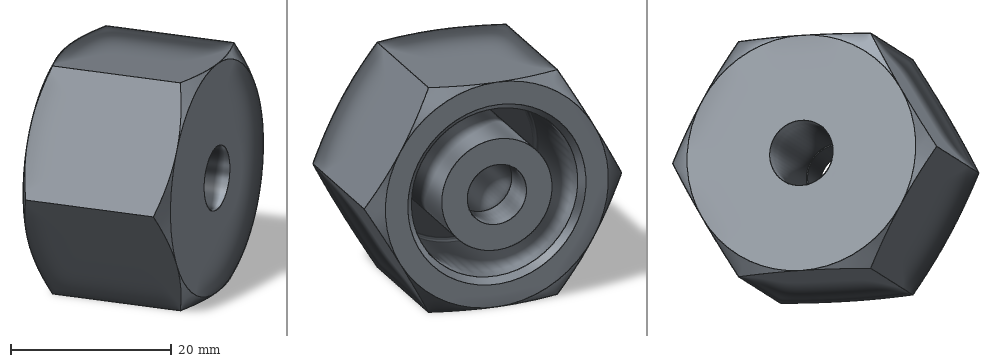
import cadquery as cq
import math

across_corners = 34.65
across_flats = across_corners * math.cos(math.radians(30))
length = 20.0
half_length = length / 2
corner_chamfer_angle = 30.0

mouth_radius = 12.0
cavity_radius = 11.2
mouth_chamfer_depth = 0.8
cavity_depth = 14.55
floor_fillet = 0.5

boss_radius = 7.4
bore_radius = 4.0
rear_bore_radius = 4.15
bore_step_depth = 5.0

open_end = -half_length
floor_x = open_end + cavity_depth


def revolve_about_x(points):
    """Revolve a closed (x, radius) outline about the X axis."""
    return cq.Workplane("XY").polyline(points).close().revolve(360, (0, 0, 0), (1, 0, 0))


def hexagon_body():
    """Hexagonal prism with its corners turned conical at both ends."""
    prism = (
        cq.Workplane("YZ", origin=(open_end, 0, 0))
        .polygon(6, across_corners)
        .extrude(length)
    )
    flat_radius = across_flats / 2
    corner_radius = across_corners / 2
    setback = (corner_radius - flat_radius) * math.tan(math.radians(corner_chamfer_angle))
    envelope = revolve_about_x([
        (-half_length, 0),
        (-half_length, flat_radius),
        (-half_length + setback, corner_radius),
        (half_length - setback, corner_radius),
        (half_length, flat_radius),
        (half_length, 0),
    ])
    return prism.intersect(envelope)


def cavity():
    """Chamfered round cavity with a filleted floor edge."""
    outline = (
        cq.Workplane("XY")
        .moveTo(open_end, 0)
        .lineTo(open_end, mouth_radius)
        .lineTo(open_end + mouth_chamfer_depth, cavity_radius)
        .lineTo(floor_x - floor_fillet, cavity_radius)
        .radiusArc((floor_x, cavity_radius - floor_fillet), floor_fillet)
        .lineTo(floor_x, 0)
        .close()
    )
    return outline.revolve(360, (0, 0, 0), (1, 0, 0))


def boss():
    """Round boss running from the cavity floor, flush with the open end."""
    return (
        cq.Workplane("YZ", origin=(open_end, 0, 0))
        .circle(boss_radius)
        .extrude(length)
    )


def bore():
    """Through bore along the axis, slightly wider behind its step."""
    narrow = cq.Workplane("YZ", origin=(open_end, 0, 0)).circle(bore_radius).extrude(length)
    wide = (
        cq.Workplane("YZ", origin=(open_end + bore_step_depth, 0, 0))
        .circle(rear_bore_radius)
        .extrude(length - bore_step_depth)
    )
    return narrow.union(wide)


result = hexagon_body().cut(cavity()).union(boss()).cut(bore())